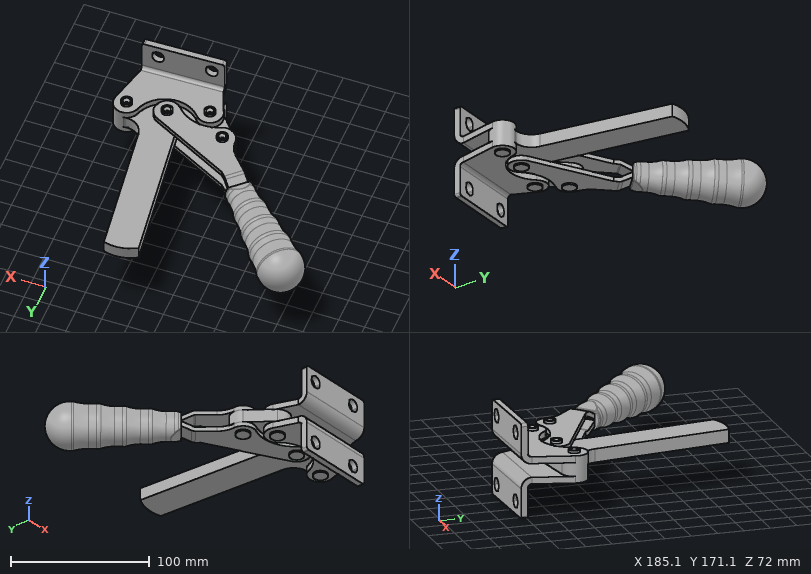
import cadquery as cq
import math


BOSS_R = 10.0
MID_HALF = 5.2
BASE_T = 5.2
HANDLE_T = 3.7
BASE_TOP = MID_HALF + BASE_T
HANDLE_TOP = MID_HALF + HANDLE_T

ARM_TURN = 7.4
ARM_PIN_GAP = 30.0
ARM_W = 26.0
ARM_L = 130.3
ARM_CROWN = 2.8
ARM_CORNER_R = 13.0

BASE_TURN = 1.3
BASE_LINK_PIN = cq.Vector(-59.8, -11.0)
BASE_LEFT = -62.2
BASE_W = 63.3
BASE_BOTTOM = -40.9
BASE_HOLLOW_R = 24.6
BASE_SPAN = 72.0
BEND_IN_R = 2.8
FLANGE_CORNER_R = 2.0
HOLE_W = 8.9
HOLE_L = 10.0
HOLE_EDGE = 9.8
HOLE_PITCH = 41.0
HOLE_GAUGE = 52.0

HANDLE_TURN = -47.4
HANDLE_LINK_PIN = cq.Vector(125.0, -4.8)
HANDLE_ARM_PIN = cq.Vector(163.8, 22.4)
NECK_W = 15.4
NECK_SHOULDER = 94.4
NECK_HOLLOW_R = 18.5
ARCH_R = 29.8
TANG_START = 77.7
NECK_BEND = 89.0
NECK_BEND_ANGLE = 27.0
NECK_BEND_R = 5.7

BALL_R = 18.0
BALL_END = 1.1
BALL_LAND_END = 2.5
RIDGE_COUNT = 4
RIDGE_FIRST = 20.7
RIDGE_PITCH = 18.7
RIDGE_HALF_W = 1.5
RIDGE_CROWN = 0.2
BAND_DIA = 32.8
BAND_DIA_STEP = 3.5
BAND_L = 6.0
GRIP_END = 80.5
GRIP_END_ROUND = 0.7
FLAT_START = 72.5
FLAT_END_Z = 6.8

RIVET_DIA = 8.3
RIVET_RISE = 2.0
DIMPLE_R = 2.8
DIMPLE_DEPTH = 2.8
HEAD_R = 5.5
HEAD_T = 1.3


def direction(angle):
    return cq.Vector(math.cos(math.radians(angle)), math.sin(math.radians(angle)))


def turned(point, angle):
    """Point turned about the origin in the XY plane."""
    unit = direction(angle)
    return cq.Vector(point.x * unit.x - point.y * unit.y, point.x * unit.y + point.y * unit.x)


def heading(vector):
    return math.degrees(math.atan2(vector.y, vector.x))


def towards(start, target, distance):
    """Point at a distance from start on the way to target."""
    return start + (target - start).normalized() * distance


def tangent_point(outside, centre, radius, side):
    """Where a line from an outside point touches a circle; side +1 or -1 picks the line."""
    to_point = outside - centre
    swing = math.degrees(math.acos(radius / to_point.Length))
    return centre + direction(heading(to_point) + side * swing) * radius


def hollow_centre(first, second, radius):
    """Centre of a circle that touches both pin bosses, to the right of first to second."""
    half = (second - first) * 0.5
    rise = math.sqrt((radius + BOSS_R) ** 2 - half.Length ** 2)
    return first + half + cq.Vector(half.y, -half.x).normalized() * rise


def arc_to(wire, centre, start, end, clockwise):
    """Continue an outline along the circle about centre."""
    sweep = (heading(end - centre) - heading(start - centre)) % 360
    if clockwise:
        sweep -= 360
    middle = centre + turned(start - centre, sweep / 2)
    return wire.threePointArc(middle.toTuple()[:2], end.toTuple()[:2])


def line_to(wire, point):
    return wire.lineTo(point.x, point.y)


def capsule(first, second):
    """Middle plate with a boss at each end."""
    along = second - first
    return (
        cq.Workplane("XY", origin=((first + second) * 0.5).toTuple())
        .transformed(rotate=(0, 0, heading(along)))
        .slot2D(along.Length + 2 * BOSS_R, 2 * BOSS_R)
        .extrude(MID_HALF, both=True)
    )


def both_sides(upper):
    return upper.union(upper.mirror("XY"))


def turn_part(part, angle):
    return part.rotate((0, 0, 0), (0, 0, 1), angle)


ARM_PIN = cq.Vector(0, 0)
GRIP_PIN = turned(cq.Vector(-ARM_PIN_GAP, 0), ARM_TURN)
BASE_PIN = turned(BASE_LINK_PIN, BASE_TURN)
BALL_CENTRE = GRIP_PIN - turned(HANDLE_ARM_PIN, HANDLE_TURN)
LINK_PIN = BALL_CENTRE + turned(HANDLE_LINK_PIN, HANDLE_TURN)


def clamping_arm():
    left = -BOSS_R
    right = left + ARM_W
    bar = (
        cq.Workplane("XY")
        .moveTo(left, 0)
        .lineTo(right, 0)
        .lineTo(right, ARM_L)
        .threePointArc(((left + right) / 2, ARM_L + ARM_CROWN), (left, ARM_L))
        .close()
        .extrude(MID_HALF, both=True)
    )
    arm = capsule(cq.Vector(0, 0), cq.Vector(ARM_PIN_GAP, 0)).union(bar)
    corner = cq.selectors.NearestToPointSelector((right, BOSS_R, 0))
    arm = arm.edges("|Z").edges(corner).fillet(ARM_CORNER_R)
    return turn_part(arm, ARM_TURN).translate(GRIP_PIN)


def base_plate_outline():
    """Upright plate, down to where the bend into the flange ends."""
    pin = BASE_LINK_PIN
    hollow = hollow_centre(ARM_PIN, pin, BASE_HOLLOW_R)
    left_foot = cq.Vector(BASE_LEFT, BASE_BOTTOM + BASE_T + BEND_IN_R)
    right_foot = left_foot + cq.Vector(BASE_W, 0)
    right_touch = tangent_point(right_foot, ARM_PIN, BOSS_R, 1)
    right_dip = towards(ARM_PIN, hollow, BOSS_R)
    left_dip = towards(pin, hollow, BOSS_R)
    left_touch = tangent_point(left_foot, pin, BOSS_R, -1)
    wire = cq.Workplane("XY", origin=(0, 0, MID_HALF)).moveTo(left_foot.x, left_foot.y)
    wire = line_to(wire, right_foot)
    wire = line_to(wire, right_touch)
    wire = arc_to(wire, ARM_PIN, right_touch, right_dip, False)
    wire = arc_to(wire, hollow, right_dip, left_dip, True)
    wire = arc_to(wire, pin, left_dip, left_touch, False)
    return wire.close()


def base_flange():
    """Bend and mounting flange of the upper half."""
    bend_out_r = BEND_IN_R + BASE_T
    bend_end_z = MID_HALF + bend_out_r
    bend_end_y = BASE_BOTTOM + bend_out_r
    diagonal = math.sqrt(0.5)
    out_offset = bend_out_r * diagonal
    in_offset = BEND_IN_R * diagonal
    flange = (
        cq.Workplane("YZ", origin=(BASE_LEFT, 0, 0))
        .moveTo(bend_end_y, MID_HALF)
        .threePointArc((bend_end_y - out_offset, bend_end_z - out_offset), (BASE_BOTTOM, bend_end_z))
        .lineTo(BASE_BOTTOM, BASE_SPAN / 2)
        .lineTo(BASE_BOTTOM + BASE_T, BASE_SPAN / 2)
        .lineTo(BASE_BOTTOM + BASE_T, bend_end_z)
        .threePointArc((bend_end_y - in_offset, bend_end_z - in_offset), (bend_end_y, BASE_TOP))
        .close()
        .extrude(BASE_W)
        .edges("|Y and >Z")
        .fillet(FLANGE_CORNER_R)
    )
    first_hole = BASE_LEFT + HOLE_EDGE
    hole_z = HOLE_GAUGE / 2
    holes = (
        cq.Workplane("XZ", origin=(0, BASE_BOTTOM, 0))
        .pushPoints([(first_hole, hole_z), (first_hole + HOLE_PITCH, hole_z)])
        .slot2D(HOLE_L, HOLE_W, 90)
        .extrude(-BASE_T)
    )
    return flange.cut(holes)


def base():
    upper = base_plate_outline().extrude(BASE_T).union(base_flange())
    return turn_part(both_sides(upper), BASE_TURN)


def handle_outline():
    half_neck = NECK_W / 2
    neck_end = cq.Vector(TANG_START, half_neck)
    shoulder = cq.Vector(NECK_SHOULDER, half_neck)
    arch = hollow_centre(HANDLE_LINK_PIN, HANDLE_ARM_PIN, ARCH_R)
    hollow_y = -half_neck - NECK_HOLLOW_R
    hollow_reach = math.sqrt((NECK_HOLLOW_R + BOSS_R) ** 2 - (HANDLE_LINK_PIN.y - hollow_y) ** 2)
    hollow = cq.Vector(HANDLE_LINK_PIN.x - hollow_reach, hollow_y)

    arm_touch = tangent_point(shoulder, HANDLE_ARM_PIN, BOSS_R, -1)
    arm_dip = towards(HANDLE_ARM_PIN, arch, BOSS_R)
    link_dip = towards(HANDLE_LINK_PIN, arch, BOSS_R)
    link_touch = towards(HANDLE_LINK_PIN, hollow, BOSS_R)
    neck_touch = cq.Vector(hollow.x, -half_neck)

    wire = cq.Workplane("XY").moveTo(neck_end.x, neck_end.y)
    wire = line_to(wire, shoulder)
    wire = line_to(wire, arm_touch)
    wire = arc_to(wire, HANDLE_ARM_PIN, arm_touch, arm_dip, True)
    wire = arc_to(wire, arch, arm_dip, link_dip, False)
    wire = arc_to(wire, HANDLE_LINK_PIN, link_dip, link_touch, True)
    wire = arc_to(wire, hollow, link_touch, neck_touch, False)
    wire = line_to(wire, cq.Vector(TANG_START, -half_neck))
    return wire.close()


def handle_sheet():
    """Upper handle sheet, bent down towards the middle at the neck."""
    slope = math.tan(math.radians(NECK_BEND_ANGLE))
    inner_bend = NECK_BEND + HANDLE_T * math.tan(math.radians(NECK_BEND_ANGLE / 2))
    far_end = HANDLE_ARM_PIN.x + 2 * BOSS_R
    side_reach = HANDLE_ARM_PIN.y + 2 * BOSS_R
    bent_sheet = (
        cq.Workplane("XZ")
        .moveTo(TANG_START, HANDLE_TOP - slope * (NECK_BEND - TANG_START))
        .lineTo(NECK_BEND, HANDLE_TOP)
        .lineTo(far_end, HANDLE_TOP)
        .lineTo(far_end, MID_HALF)
        .lineTo(inner_bend, MID_HALF)
        .lineTo(TANG_START, MID_HALF - slope * (inner_bend - TANG_START))
        .close()
        .extrude(side_reach, both=True)
    )
    outer_edge = cq.selectors.NearestToPointSelector((NECK_BEND, 0, HANDLE_TOP))
    inner_edge = cq.selectors.NearestToPointSelector((inner_bend, 0, MID_HALF))
    bent_sheet = bent_sheet.edges("|Y").edges(outer_edge).fillet(NECK_BEND_R)
    bent_sheet = bent_sheet.edges("|Y").edges(inner_edge).fillet(NECK_BEND_R - HANDLE_T)
    return handle_outline().extrude(HANDLE_TOP, both=True).intersect(bent_sheet)


def grip():
    """Ball-ended ridged grip with two flats at the neck."""
    diagonal = BALL_R * math.sqrt(0.5)
    land_r = math.sqrt(BALL_R ** 2 - BALL_END ** 2)
    wire = cq.Workplane("XY").moveTo(-BALL_R, 0)
    wire = wire.threePointArc((-diagonal, diagonal), (BALL_END, land_r))
    groove_start = cq.Vector(BALL_LAND_END, land_r)
    wire = line_to(wire, groove_start)
    for i in range(RIDGE_COUNT):
        ridge_x = RIDGE_FIRST + i * RIDGE_PITCH
        band_r = (BAND_DIA - i * BAND_DIA_STEP) / 2
        band_end = cq.Vector(ridge_x - RIDGE_HALF_W, band_r)
        band_start = band_end - cq.Vector(BAND_L, 0)
        ridge_end = cq.Vector(ridge_x + RIDGE_HALF_W, band_r)
        fall = groove_start - band_start
        groove_r = fall.Length ** 2 / (2 * fall.y)
        wire = arc_to(wire, band_start + cq.Vector(0, groove_r), groove_start, band_start, False)
        wire = line_to(wire, band_end)
        wire = wire.threePointArc((ridge_x, band_r + RIDGE_CROWN), (ridge_end.x, ridge_end.y))
        groove_start = ridge_end
    body = (
        wire.lineTo(GRIP_END, band_r)
        .lineTo(GRIP_END, 0)
        .close()
        .revolve(360, (0, 0, 0), (1, 0, 0))
    )
    flat_cut = (
        cq.Workplane("XZ")
        .moveTo(FLAT_START, band_r)
        .lineTo(GRIP_END, FLAT_END_Z)
        .lineTo(GRIP_END, BALL_R)
        .lineTo(FLAT_START, BALL_R)
        .close()
        .extrude(BALL_R, both=True)
    )
    tip = body.cut(both_sides(flat_cut))
    return tip.faces("%PLANE").edges().fillet(GRIP_END_ROUND)


def handle():
    part = both_sides(handle_sheet()).union(grip())
    return turn_part(part, HANDLE_TURN).translate(BALL_CENTRE)


def rivet(pin, plate_top):
    """Rivet through a stack of plates: dimpled end above, flat head below."""
    bottom = -plate_top - HEAD_T
    top = plate_top + RIVET_RISE
    rivet_r = RIVET_DIA / 2
    return (
        cq.Workplane("XZ")
        .moveTo(0, bottom)
        .lineTo(HEAD_R, bottom)
        .lineTo(HEAD_R, -plate_top)
        .lineTo(rivet_r, -plate_top)
        .lineTo(rivet_r, top)
        .lineTo(DIMPLE_R, top)
        .lineTo(0, top - DIMPLE_DEPTH)
        .close()
        .revolve(360, (0, 0, 0), (0, 1, 0))
        .translate(pin)
    )


result = base().union(clamping_arm()).union(capsule(LINK_PIN, BASE_PIN)).union(handle())
for pin in (ARM_PIN, BASE_PIN):
    result = result.union(rivet(pin, BASE_TOP))
for pin in (GRIP_PIN, LINK_PIN):
    result = result.union(rivet(pin, HANDLE_TOP))